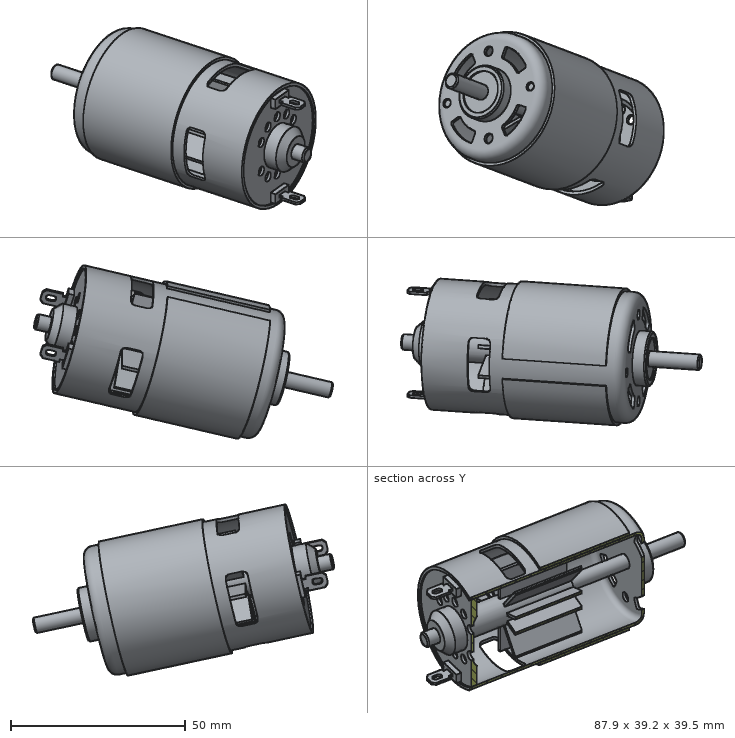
import cadquery as cq
import math


shaft_length = 87.9
shaft_radius = 2.3
shaft_chamfer = 0.4
core_radius = 4.5
core_start = 39.5
fin_count = 10
fin_thickness = 1.0
fin_radius = 14.6
fin_end = 62.2

can_radius = 18.9
can_wall = 1.0
can_front = 18.3
can_rear = 77.85
can_edge_radius = 2.7
cavity_radius = can_radius - can_wall
cavity_start = can_front + can_wall

hub_front = 14.4
hub_radius = 7.9
hub_chamfer = 0.4
hub_recess_radius = 6.15
hub_recess_depth = 0.5

vent_inner_radius = 11.2
vent_outer_radius = 14.8
vent_half_angle = 21.0
vent_corner_radius = 0.7
vent_angles = (45, 135, 225, 315)
round_vent_diameter = 2.9
round_vent_offset = 13.0
dimple_radius = 1.3
dimple_floor_radius = 1.05
dimple_depth = 0.4
dimple_offset = 14.8

ring_start = 23.4
ring_end = 53.9
ring_diameter = 39.45
ring_radius = ring_diameter / 2
ring_gap = 6.15

window_start = 57.8
window_end = 64.3
window_width = 16.1
window_corner_radius = 1.5
window_depth = ring_diameter

cap_front = 75.2
cap_floor = 76.4
cap_rear = 77.3
dish_outer_radius = 12.5
dish_floor_radius = 11.2
boss_radius = 6.8
boss_chamfer_length = 2.1
boss_chamfer_depth = 2.3
boss_end = 83.7
cap_hole_angles = (30, 60, 90, 120, 150, 210, 240, 270, 300, 330)
cap_hole_radius = 1.4
cap_hole_offset = 9.4

terminal_offset = 15.55
terminal_base_end = 79.0
terminal_base_width = 6.85
terminal_base_height = 3.2
terminal_thickness = 0.8
neck_end = 80.2
neck_width = 2.8
blade_end = 86.1
blade_width = 4.5
blade_chamfer = 1.0
eyelet_length = 3.0
eyelet_width = 1.8
eyelet_center = 83.3


def cylinder(start, end, radius):
    """Cylinder on the motor axis between two X positions."""
    return cq.Workplane("YZ", origin=(start, 0, 0)).circle(radius).extrude(end - start)


def box_between(start, end, width, height, z=0.0):
    """Box between two X positions, centred on Y = 0 and on the given Z."""
    box = cq.Workplane("XY").box(end - start, width, height)
    return box.translate(((start + end) / 2, 0, z))


def polar(radius, degrees):
    """Point in the YZ plane at a radius and an angle from +Y."""
    angle = math.radians(degrees)
    return (radius * math.cos(angle), radius * math.sin(angle))


def make_rotor():
    """Shaft with a core and radial fins, the first fin pointing up."""
    shaft = cylinder(0, shaft_length, shaft_radius).edges().chamfer(shaft_chamfer)
    rotor = shaft.union(cylinder(core_start, cap_floor, core_radius))
    for index in range(fin_count):
        fin = box_between(core_start, fin_end, fin_thickness, fin_radius, fin_radius / 2)
        rotor = rotor.union(fin.rotate((0, 0, 0), (1, 0, 0), index * 360 / fin_count))
    return rotor


def arc_vent(middle_angle):
    """Slot along an arc, cutting through the front wall of the can."""
    first = middle_angle - vent_half_angle
    last = middle_angle + vent_half_angle
    return (
        cq.Workplane("YZ", origin=(can_front, 0, 0))
        .moveTo(*polar(vent_inner_radius, first))
        .lineTo(*polar(vent_outer_radius, first))
        .threePointArc(polar(vent_outer_radius, middle_angle), polar(vent_outer_radius, last))
        .lineTo(*polar(vent_inner_radius, last))
        .threePointArc(polar(vent_inner_radius, middle_angle), polar(vent_inner_radius, first))
        .close()
        .extrude(can_wall)
        .edges("|X")
        .fillet(vent_corner_radius)
    )


def make_can():
    """Shell with a hub, vents, dimples and side windows."""
    shell = cylinder(can_front, can_rear, can_radius).faces("<X").edges().fillet(can_edge_radius)
    cavity = cylinder(cavity_start, can_rear, cavity_radius)
    cavity = cavity.faces("<X").edges().fillet(can_edge_radius - can_wall)
    hub = cylinder(hub_front, can_front, hub_radius).faces("<X").edges().chamfer(hub_chamfer)
    can = shell.cut(cavity).union(hub)
    can = can.cut(cylinder(hub_front, hub_front + hub_recess_depth, hub_recess_radius))
    can = can.cut(cylinder(hub_front, cavity_start, shaft_radius))

    for angle in vent_angles:
        can = can.cut(arc_vent(angle))

    front_wall = cq.Workplane("YZ", origin=(can_front, 0, 0))
    round_vents = front_wall.pushPoints([(0, round_vent_offset), (0, -round_vent_offset)])
    can = can.cut(round_vents.circle(round_vent_diameter / 2).extrude(can_wall))

    for side in (1, -1):
        dimple = cq.Solid.makeCone(
            dimple_radius,
            dimple_floor_radius,
            dimple_depth,
            pnt=cq.Vector(can_front, side * dimple_offset, 0),
            dir=cq.Vector(1, 0, 0),
        )
        can = can.cut(cq.Workplane(dimple))

    window = box_between(window_start, window_end, window_width, window_depth)
    window = window.edges("|Z").fillet(window_corner_radius)
    can = can.cut(window)
    return can.cut(window.rotate((0, 0, 0), (1, 0, 0), 90))


def make_flux_ring():
    """Ring around the can with its gap on the +Y side."""
    ring = cylinder(ring_start, ring_end, ring_radius).cut(cylinder(ring_start, ring_end, can_radius))
    gap = box_between(ring_start, ring_end, ring_radius, ring_gap).translate((0, ring_radius, 0))
    return ring.cut(gap)


def make_terminal(z):
    """Terminal at height Z: base, neck and blade with an eyelet."""
    base = box_between(cap_rear, terminal_base_end, terminal_base_width, terminal_base_height, z)
    neck = box_between(terminal_base_end, neck_end, neck_width, terminal_thickness, z)
    blade = box_between(neck_end, blade_end, blade_width, terminal_thickness, z)
    blade = blade.edges("|Z and >X").chamfer(blade_chamfer)
    eyelet = (
        cq.Workplane("XY", origin=(eyelet_center, 0, z - terminal_thickness / 2))
        .slot2D(eyelet_length, eyelet_width)
        .extrude(terminal_thickness)
    )
    return base.union(neck).union(blade.cut(eyelet))


def make_end_cap():
    """Dished disc with holes, a bearing boss and two terminals."""
    disc = cylinder(cap_front, cap_rear, cavity_radius)
    dish = (
        cq.Workplane("XY")
        .polyline(
            [
                (cap_front, 0),
                (cap_front, dish_outer_radius),
                (cap_floor, dish_floor_radius),
                (cap_floor, 0),
            ]
        )
        .close()
        .revolve(360, (0, 0, 0), (1, 0, 0))
    )
    boss = (
        cylinder(cap_floor, boss_end, boss_radius)
        .faces(">X")
        .chamfer(boss_chamfer_depth, boss_chamfer_length)
    )
    holes = (
        cq.Workplane("YZ", origin=(cap_floor, 0, 0))
        .pushPoints([polar(cap_hole_offset, angle) for angle in cap_hole_angles])
        .circle(cap_hole_radius)
        .extrude(cap_rear - cap_floor)
    )
    cap = disc.cut(dish).cut(holes).union(boss)
    cap = cap.union(make_terminal(terminal_offset)).union(make_terminal(-terminal_offset))
    return cap.cut(cylinder(cap_floor, boss_end, shaft_radius))


can = make_can()
flux_ring = make_flux_ring()
rotor = make_rotor()
end_cap = make_end_cap()

result = cq.Compound.makeCompound([can.val(), flux_ring.val(), rotor.val(), end_cap.val()])